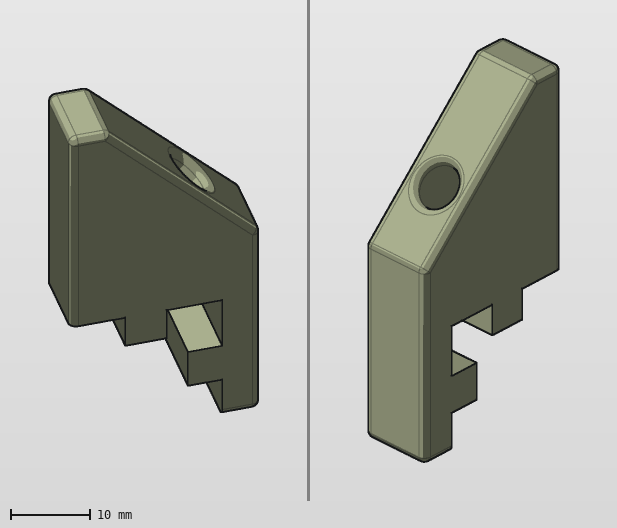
import cadquery as cq
import math

width = 10.5
depth = 25.0
height = 48.5
edge_radius = 1.0

top_depth = 5.0
slope_run = depth - top_depth
slope_foot = height - slope_run

body_bottom = 18.55
back_wall_thickness = 5.0
tab_length = 4.5
tab_thickness = 5.45
tab_offset = 7.3
recess_wall = depth - back_wall_thickness

hole_diameter = 6.0
hole_depth = 10.0
hole_y = 17.45
hole_z = height - (hole_y - top_depth)
rim_radius = 1.0
clearance = 2.42


def extrude_profile(points, length):
    """Extrude a closed (Y, Z) outline along X, centred on X = 0."""
    return cq.Workplane("YZ").polyline(points).close().extrude(length / 2, both=True)


def make_block():
    """Sloped block with every edge rounded."""
    outline = [
        (0, 0),
        (depth, 0),
        (depth, slope_foot),
        (top_depth, height),
        (0, height),
    ]
    return extrude_profile(outline, width).edges().fillet(edge_radius)


def make_recess():
    """Corner recess that leaves the two square tabs standing."""
    down_tab_back = recess_wall - tab_offset
    down_tab_front = down_tab_back - tab_thickness
    down_tab_end = body_bottom - tab_length
    side_tab_top = body_bottom - tab_offset
    side_tab_bottom = side_tab_top - tab_thickness
    side_tab_end = recess_wall - tab_length
    outline = [
        (-clearance, -clearance),
        (recess_wall, -clearance),
        (recess_wall, side_tab_bottom),
        (side_tab_end, side_tab_bottom),
        (side_tab_end, side_tab_top),
        (recess_wall, side_tab_top),
        (recess_wall, body_bottom),
        (down_tab_back, body_bottom),
        (down_tab_back, down_tab_end),
        (down_tab_front, down_tab_end),
        (down_tab_front, body_bottom),
        (-clearance, body_bottom),
    ]
    return extrude_profile(outline, width + 2 * clearance)


def make_hole():
    """Flat-bottomed hole with a rounded rim, revolved about the slope normal."""
    radius = hole_diameter / 2
    arc_reach = rim_radius * (1 - math.sin(math.radians(45)))
    section_plane = cq.Plane(origin=(0, hole_y, hole_z), xDir=(1, 0, 0), normal=(0, -1, 1))
    return (
        cq.Workplane(section_plane)
        .moveTo(0, 0)
        .lineTo(radius + rim_radius, 0)
        .threePointArc((radius + arc_reach, -arc_reach), (radius, -rim_radius))
        .lineTo(radius, -hole_depth)
        .lineTo(0, -hole_depth)
        .close()
        .revolve(360, (0, 0), (0, 1))
    )


result = make_block().cut(make_recess()).cut(make_hole())